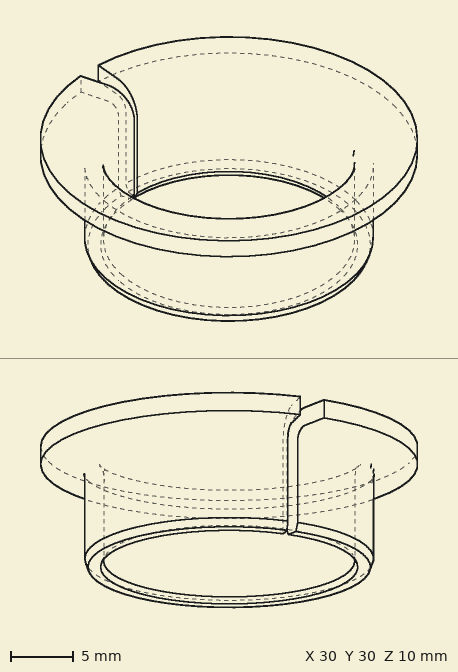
import cadquery as cq
import math

flange_radius = 15.0
height = 10.0
bore_radius = 9.98
wall = 1.5
mouth_radius = 2.5
lead_in_height = 0.7
lead_in_angle = 20.0
bore_chamfer_height = 0.5
bore_chamfer_width = 0.25

split_half_angle = 10.0
split_half_width = 1.05

sleeve_radius = bore_radius + wall
flange_bottom = height - wall
bend_radius = bore_radius + mouth_radius
bend_height = height - mouth_radius
neck_radius = mouth_radius - wall
lead_in_width = lead_in_height * math.tan(math.radians(lead_in_angle))
cos_45 = math.cos(math.radians(45))


def bend_middle(radius):
    """Middle point of a quarter arc about the bend centre."""
    return (bend_radius - radius * cos_45, bend_height + radius * cos_45)


def flanged_sleeve():
    """Revolve the wall section (radius, height) about Z."""
    section = (
        cq.Workplane("XZ")
        .moveTo(bore_radius, bore_chamfer_height)
        .lineTo(bore_radius + bore_chamfer_width, 0)
        .lineTo(sleeve_radius - lead_in_width, 0)
        .lineTo(sleeve_radius, lead_in_height)
        .lineTo(sleeve_radius, bend_height)
        .threePointArc(bend_middle(neck_radius), (bend_radius, flange_bottom))
        .lineTo(flange_radius, flange_bottom)
        .lineTo(flange_radius, height)
        .lineTo(bend_radius, height)
        .threePointArc(bend_middle(mouth_radius), (bore_radius, bend_height))
        .close()
    )
    ring = section.revolve(360, (0, 0, 0), (0, 1, 0))
    return ring.rotate((0, 0, 0), (0, 0, 1), 180)


def split_wedge():
    """Full-height wedge whose sides spread outwards along -X."""
    rim_x = -math.sqrt(flange_radius**2 - split_half_width**2)
    slope = math.tan(math.radians(split_half_angle))
    apex_x = rim_x + split_half_width / slope
    outer_x = -1.1 * flange_radius
    outer_y = (apex_x - outer_x) * slope
    return (
        cq.Workplane("XY")
        .polyline([(apex_x, 0), (outer_x, outer_y), (outer_x, -outer_y)])
        .close()
        .extrude(height)
    )


result = flanged_sleeve().cut(split_wedge())